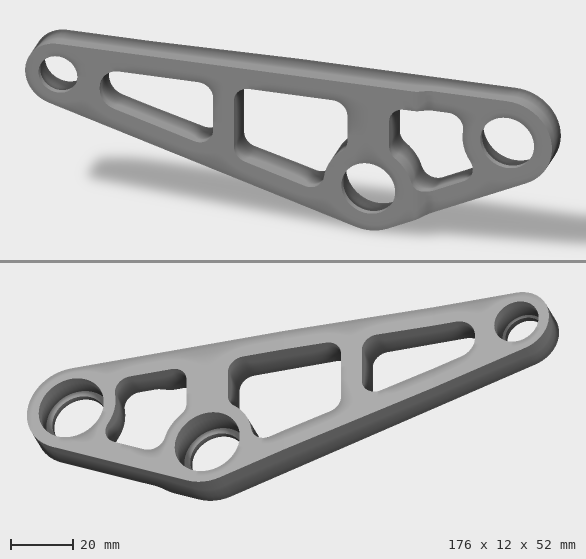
import math

import cadquery as cq


tip_x = 149.96
pivot_x = 104.0
tail_boss_r = 11.0
main_boss_r = 15.0
height = 52.0
top_z = tail_boss_r
tail = (0.0, 0.0)
tip = (tip_x, top_z - main_boss_r)
pivot = (pivot_x, top_z - height + main_boss_r)

tail_lip_d = 13.0
tail_seat_d = 15.0
main_lip_d = 18.0
main_seat_d = 22.0
lip_depth = 2.0

thickness = 12.0
tail_thickness = 10.5
taper_start_x = 28.0
taper_end_x = 78.0
front_step = 2.0
step_angle = math.radians(28)
step_fillet_r = 4.0
step_start_x = 119.1

rail_width = 7.0
web_width = 7.0
pivot_web_width = 14.0
pocket_fillet_r = 5.0
first_pocket_end_r = 6.5
first_pocket_x = 14.0
second_pocket_x = 59.0


def plate(outline):
    """Extrude a closed XZ outline from the front face through the full thickness."""
    return outline.extrude(-thickness)


def disc(centre, radius):
    """Full-thickness cylinder along Y."""
    return plate(cq.Workplane("XZ").center(*centre).circle(radius))


def lever_blank(inset):
    """Plate bounded by the three boss arcs and their common tangents, shrunk by inset."""
    circles = [
        (tail, tail_boss_r - inset),
        (tip, main_boss_r - inset),
        (pivot, main_boss_r - inset),
    ]
    count = len(circles)

    normals = []
    for i in range(count):
        (x0, z0), r0 = circles[i]
        (x1, z1), r1 = circles[(i + 1) % count]
        heading = math.atan2(z1 - z0, x1 - x0)
        normals.append(heading + math.acos((r0 - r1) / math.hypot(x1 - x0, z1 - z0)))

    def on_circle(i, angle):
        (x, z), r = circles[i]
        return (x + r * math.cos(angle), z + r * math.sin(angle))

    outline = cq.Workplane("XZ").moveTo(*on_circle(0, normals[0]))
    for i in range(count):
        following = (i + 1) % count
        sweep = (normals[i] - normals[following]) % (2 * math.pi)
        outline = outline.lineTo(*on_circle(following, normals[i]))
        outline = outline.threePointArc(
            on_circle(following, normals[i] - sweep / 2),
            on_circle(following, normals[following]),
        )
    return plate(outline.close())


def side_profile():
    """Plate thickness seen along Z: tapered back face and a blended step in the front face."""
    run = step_fillet_r * math.sin(step_angle)
    drop = step_fillet_r * (1 - math.cos(step_angle))
    half_run = step_fillet_r * math.sin(step_angle / 2)
    half_drop = step_fillet_r * (1 - math.cos(step_angle / 2))
    ramp_run = (front_step - 2 * drop) / math.tan(step_angle)
    step_end_x = step_start_x + 2 * run + ramp_run

    left_x = -tail_boss_r
    right_x = tip_x + main_boss_r
    profile = (
        cq.Workplane("XY")
        .workplane(offset=top_z - height)
        .moveTo(left_x, 0)
        .lineTo(step_start_x, 0)
        .threePointArc((step_start_x + half_run, half_drop), (step_start_x + run, drop))
        .lineTo(step_end_x - run, front_step - drop)
        .threePointArc((step_end_x - half_run, front_step - half_drop), (step_end_x, front_step))
        .lineTo(right_x, front_step)
        .lineTo(right_x, thickness)
        .lineTo(taper_end_x, thickness)
        .lineTo(taper_start_x, tail_thickness)
        .lineTo(left_x, tail_thickness)
        .close()
    )
    return profile.extrude(height)


def pocket(start_x, end_x, start_fillet_r):
    """Opening between two X positions, inside the rails and clear of the main bosses."""
    window = cq.Workplane("XY").box(end_x - start_x, thickness, height, centered=False)
    window = window.translate((start_x, 0, top_z - height))
    opening = lever_blank(rail_width).intersect(window)
    for centre in (pivot, tip):
        opening = opening.cut(disc(centre, main_boss_r))
    opening = cq.Workplane(max(opening.solids().vals(), key=lambda piece: piece.Volume()))
    opening = opening.edges("|Y and (not <X)").fillet(pocket_fillet_r)
    return opening.edges("|Y and <X").fillet(start_fillet_r)


def stepped_hole(centre, lip_d, seat_d, front_y):
    """Through hole of the lip diameter, widened behind the lip."""
    seat = disc(centre, seat_d / 2).translate((0, front_y + lip_depth, 0))
    return disc(centre, lip_d / 2).union(seat)


result = lever_blank(0).intersect(side_profile())

pockets = [
    (first_pocket_x, second_pocket_x - web_width, first_pocket_end_r),
    (second_pocket_x, pivot_x - pivot_web_width / 2, pocket_fillet_r),
    (pivot_x + pivot_web_width / 2, tip_x, pocket_fillet_r),
]
for start_x, end_x, start_fillet_r in pockets:
    result = result.cut(pocket(start_x, end_x, start_fillet_r))

for hole in [
    (tail, tail_lip_d, tail_seat_d, 0),
    (pivot, main_lip_d, main_seat_d, 0),
    (tip, main_lip_d, main_seat_d, front_step),
]:
    result = result.cut(stepped_hole(*hole))